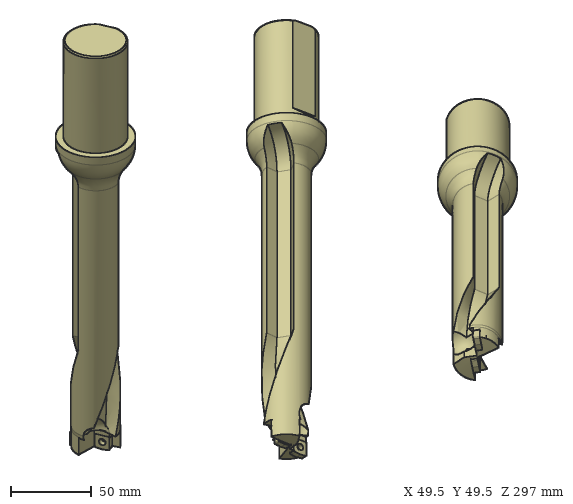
import cadquery as cq
import math


overall_length = 297.0
shank_diameter = 39.99
shank_length = 70.0
shank_chamfer = 1.0
shank_flat_offset = 18.0
shank_flat_bottom = 233.5
shank_flat_runout = 3.0
flange_diameter = 49.5
flange_thickness = 5.5
flange_top = overall_length - shank_length
flange_bottom = flange_top - flange_thickness

body_diameter = 31.0
body_radius = body_diameter / 2
bell_radius = 20.0
neck_bottom = 197.0
point_outer_height = 1.7
point_centre_height = 0.9
head_relief = 0.3
head_relief_bottom = 14.6
head_relief_top = 17.1
head_relief_side_angle = 225

flute_angle = 215.6
flute_floor_offset = 5.25
flute_floor_width = 9.0
flute_wall_angle = math.radians(30)
flute_helix_top = 78.0
flute_twist_rate = 1.3
flute_straight_top = neck_bottom
flute_bottom = 14.0
cutter_margin = 3.0
runout_clearance = 2.0
flute_runout_radius = 23.3
flute_runout_angle = 89.0
flute_twist = (flute_helix_top - flute_bottom) * flute_twist_rate
cutter_reach = body_radius + cutter_margin
runout_reach = flute_floor_offset + flute_runout_radius - runout_clearance

outer_gullet_radius = 11.0
outer_gullet_centre = (-8.0, 10.2, 18.0)
centre_gullet_radius = 9.0
centre_gullet_centre = (5.0, -9.0, 17.0)
coolant_diameter = 2.5
coolant_length = 12.0
coolant_start = (0.0, 5.5, 16.0)
coolant_direction = (1.0, 0.3, 1.0)

insert_size = 9.8
insert_thickness = 4.2
insert_corner_radius = 0.8
insert_point = 0.5
insert_bottom = insert_point
insert_hole_diameter = 4.4
screw_hole_diameter = 3.5
screw_hole_depth = 3.5
centre_insert_x = 4.5
outer_insert_overhang = 0.1
outer_insert_x = insert_size / 2 - body_radius - outer_insert_overhang
pocket_top = flute_bottom
pocket_reach = body_radius + cutter_margin
insert_centre_z = insert_bottom + insert_size / 2
centre_wall_gap = 0.5
centre_wall_x = centre_insert_x - insert_size / 2 - centre_wall_gap
centre_relief_y = insert_thickness
centre_wall_foot = (-5.0, -14.0)
outer_wall_x = -2.5
outer_wall_height = 8.0
outer_wall_end_x = 3.0


def blank():
    """Revolved outline of shank, flange, bell and drill body."""
    shank_radius = shank_diameter / 2
    flange_radius = flange_diameter / 2
    bell_drop = flange_bottom - neck_bottom
    bell_step = flange_radius - body_radius
    bell_slope = 2 * math.atan(bell_step / bell_drop)
    neck_radius = bell_drop / math.sin(bell_slope) - bell_radius

    def bell_point(angle):
        return (
            flange_radius - bell_radius * (1 - math.cos(angle)),
            flange_bottom - bell_radius * math.sin(angle),
        )

    bell_end = bell_point(bell_slope)
    neck_middle = (
        body_radius + neck_radius * (1 - math.cos(bell_slope / 2)),
        neck_bottom + neck_radius * math.sin(bell_slope / 2),
    )
    return (
        cq.Workplane("XZ")
        .moveTo(0, overall_length)
        .lineTo(shank_radius - shank_chamfer, overall_length)
        .lineTo(shank_radius, overall_length - shank_chamfer)
        .lineTo(shank_radius, flange_top)
        .lineTo(flange_radius, flange_top)
        .lineTo(flange_radius, flange_bottom)
        .threePointArc(bell_point(bell_slope / 2), bell_end)
        .threePointArc(neck_middle, (body_radius, neck_bottom))
        .lineTo(body_radius, point_outer_height)
        .lineTo(0, point_centre_height)
        .close()
        .revolve(360, (0, 0, 0), (0, 1, 0))
    )


def shank_flat():
    """Flat on the +Y side of the shank, sloping out above the flange."""
    outside = flange_diameter / 2
    return (
        cq.Workplane("YZ")
        .moveTo(shank_flat_offset, overall_length)
        .lineTo(shank_flat_offset, shank_flat_bottom)
        .lineTo(shank_flat_offset + shank_flat_runout, shank_flat_bottom - shank_flat_runout)
        .lineTo(outside, shank_flat_bottom - shank_flat_runout)
        .lineTo(outside, overall_length)
        .close()
        .extrude(outside, both=True)
    )


def flute_section(bottom, reach):
    """Flute cross-section opening towards +X, drawn on the plane at the given height."""
    floor_half = flute_floor_width / 2
    mouth_half = floor_half + (reach - flute_floor_offset) * math.tan(flute_wall_angle)
    return cq.Workplane("XY", origin=(0, 0, bottom)).polyline(
        [
            (flute_floor_offset, -floor_half),
            (flute_floor_offset, floor_half),
            (reach, mouth_half),
            (reach, -mouth_half),
        ]
    ).close()


def flute_pieces():
    """Cutters for one flute: runout in the bell, straight part and helix."""
    runout_axis_x = flute_floor_offset + flute_runout_radius
    runout = flute_section(flute_straight_top, runout_reach).revolve(
        flute_runout_angle, (runout_axis_x, 0, 0), (runout_axis_x, 1, 0)
    )
    straight = flute_section(flute_helix_top, cutter_reach).extrude(flute_straight_top - flute_helix_top)
    helix = (
        flute_section(flute_bottom, cutter_reach)
        .twistExtrude(flute_helix_top - flute_bottom, flute_twist)
        .rotate((0, 0, 0), (0, 0, 1), -flute_twist)
    )
    return [piece.rotate((0, 0, 0), (0, 0, 1), flute_angle) for piece in (runout, straight, helix)]


def gullet(radius, centre):
    """Ball-shaped hollow that widens the lower end of a flute."""
    return cq.Workplane("XY").sphere(radius).translate(centre)


def coolant_hole():
    """Blind hole rising from the gullet into the body."""
    return cq.Workplane(
        cq.Solid.makeCylinder(
            coolant_diameter / 2, coolant_length, cq.Vector(*coolant_start), cq.Vector(*coolant_direction)
        )
    )


def head_relief_ring():
    """Ring that thins the head, kept to the side with the outer insert."""
    outside = body_radius + cutter_margin
    relieved_radius = body_radius - head_relief
    ring = (
        cq.Workplane("XZ")
        .moveTo(relieved_radius, 0)
        .lineTo(relieved_radius, head_relief_bottom)
        .lineTo(body_radius, head_relief_top)
        .lineTo(outside, head_relief_top)
        .lineTo(outside, 0)
        .close()
        .revolve(360, (0, 0, 0), (0, 1, 0))
    )
    half = (
        cq.Workplane("XY")
        .box(2 * outside, 4 * outside, head_relief_top, centered=(False, True, False))
        .rotate((0, 0, 0), (0, 0, 1), head_relief_side_angle)
    )
    return ring.intersect(half)


def centre_pocket():
    """Chip space in front of the centre insert and beside it."""
    step_x = centre_insert_x + insert_size / 2
    return (
        cq.Workplane("XY")
        .polyline(
            [
                (centre_wall_x, 0),
                centre_wall_foot,
                (centre_wall_foot[0], -pocket_reach),
                (pocket_reach, -pocket_reach),
                (pocket_reach, centre_relief_y),
                (step_x, centre_relief_y),
                (step_x, 0),
            ]
        )
        .close()
        .extrude(pocket_top)
    )


def outer_pocket():
    """Chip space in front of the outer insert."""
    return (
        cq.Workplane("XY")
        .polyline(
            [
                (outer_wall_x, 0),
                (outer_wall_x, outer_wall_height),
                (outer_wall_end_x, pocket_reach),
                (-pocket_reach, pocket_reach),
                (-pocket_reach, 0),
            ]
        )
        .close()
        .extrude(pocket_top)
    )


def insert_blank():
    """Square insert without its hole: front face on Y = 0, thickness towards +Y, shallow point below."""
    half = insert_size / 2
    square = (
        cq.Workplane("XZ")
        .polyline(
            [
                (-half, insert_bottom),
                (0, insert_bottom - insert_point),
                (half, insert_bottom),
                (half, insert_bottom + insert_size),
                (-half, insert_bottom + insert_size),
            ]
        )
        .close()
        .extrude(-insert_thickness)
    )
    return square.edges("|Y and (<X or >X)").fillet(insert_corner_radius)


def hole_along_y(diameter, length):
    """Cylinder from Y = 0 towards +Y at the insert's centre height."""
    return cq.Workplane("XZ", origin=(0, 0, insert_centre_z)).circle(diameter / 2).extrude(-length)


def place_centre(shape):
    """The centre insert faces -Y and reaches just past the axis."""
    return shape.translate((centre_insert_x, 0, 0))


def place_outer(shape):
    """The outer insert faces +Y, so it is turned half a turn."""
    return shape.rotate((0, 0, 0), (0, 0, 1), 180).translate((outer_insert_x, 0, 0))


def drill_body():
    """Body with its flutes, chip spaces, insert seats and screw holes."""
    body = blank().cut(shank_flat())
    for turn in (0, 180):
        for cutter in [*flute_pieces(), coolant_hole()]:
            body = body.cut(cutter.rotate((0, 0, 0), (0, 0, 1), turn))
    body = body.cut(gullet(outer_gullet_radius, outer_gullet_centre))
    body = body.cut(gullet(centre_gullet_radius, centre_gullet_centre))
    body = body.cut(head_relief_ring()).cut(centre_pocket()).cut(outer_pocket())
    screw_hole = hole_along_y(screw_hole_diameter, insert_thickness + screw_hole_depth)
    for place in (place_centre, place_outer):
        body = body.cut(place(insert_blank())).cut(place(screw_hole))
    return body


def cutting_insert(place):
    """One insert with its screw hole, set in its seat."""
    return place(insert_blank().cut(hole_along_y(insert_hole_diameter, insert_thickness)))


body = drill_body()
inserts = [cutting_insert(place) for place in (place_centre, place_outer)]
result = cq.Compound.makeCompound([body.val(), *[insert.val() for insert in inserts]])